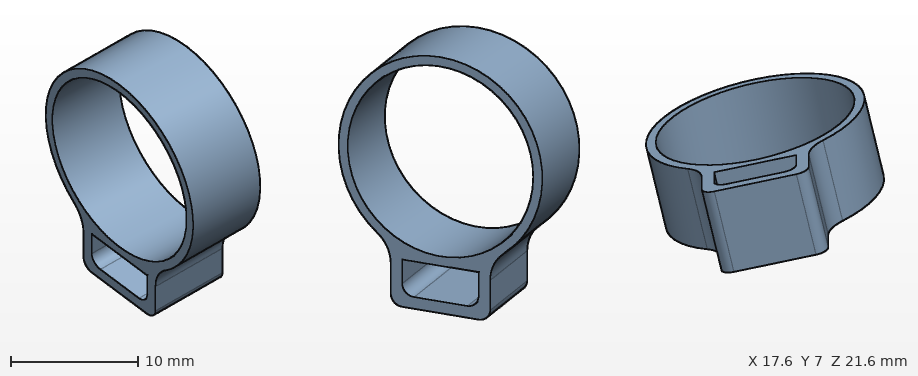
import cadquery as cq
import math

inner_diameter = 16.0
ring_wall = 0.8
band_width = 7.0
outer_radius = inner_diameter / 2 + ring_wall

window_width = 6.6
window_height = 3.0
loop_wall = 1.0
corner_radius = 1.0
neck_radius = 3.0
loop_half_width = window_width / 2 + loop_wall
window_top = -outer_radius
window_bottom = window_top - window_height
loop_bottom = window_bottom - loop_wall

neck_center_x = loop_half_width + neck_radius
neck_center_z = -math.sqrt((outer_radius + neck_radius) ** 2 - neck_center_x ** 2)


def make_disc():
    """Full outer disc of the ring, centred on the XZ plane."""
    return cq.Workplane("XZ").circle(outer_radius).extrude(band_width / 2, both=True)


def make_loop():
    """Loop block, flared by concave necks that run into the ring."""
    ring_share = outer_radius / (outer_radius + neck_radius)
    tangent_x = neck_center_x * ring_share
    tangent_z = neck_center_z * ring_share
    tangent_angle = math.atan2(tangent_z - neck_center_z, tangent_x - neck_center_x)
    middle_angle = (tangent_angle + math.pi) / 2
    middle_x = neck_center_x + neck_radius * math.cos(middle_angle)
    middle_z = neck_center_z + neck_radius * math.sin(middle_angle)
    block = (
        cq.Workplane("XZ")
        .moveTo(-tangent_x, tangent_z)
        .threePointArc((-middle_x, middle_z), (-loop_half_width, neck_center_z))
        .lineTo(-loop_half_width, loop_bottom)
        .lineTo(loop_half_width, loop_bottom)
        .lineTo(loop_half_width, neck_center_z)
        .threePointArc((middle_x, middle_z), (tangent_x, tangent_z))
        .close()
        .extrude(band_width / 2, both=True)
    )
    return block.faces("<Z").edges("|Y").fillet(corner_radius)


def make_bore():
    """Round opening of the ring."""
    return cq.Workplane("XZ").circle(inner_diameter / 2).extrude(band_width, both=True)


def make_window():
    """Opening of the loop, square at the top and rounded at the bottom."""
    window = (
        cq.Workplane("XZ")
        .center(0, (window_top + window_bottom) / 2)
        .rect(window_width, window_height)
        .extrude(band_width, both=True)
    )
    return window.faces("<Z").edges("|Y").fillet(corner_radius)


result = make_disc().union(make_loop()).cut(make_bore()).cut(make_window())